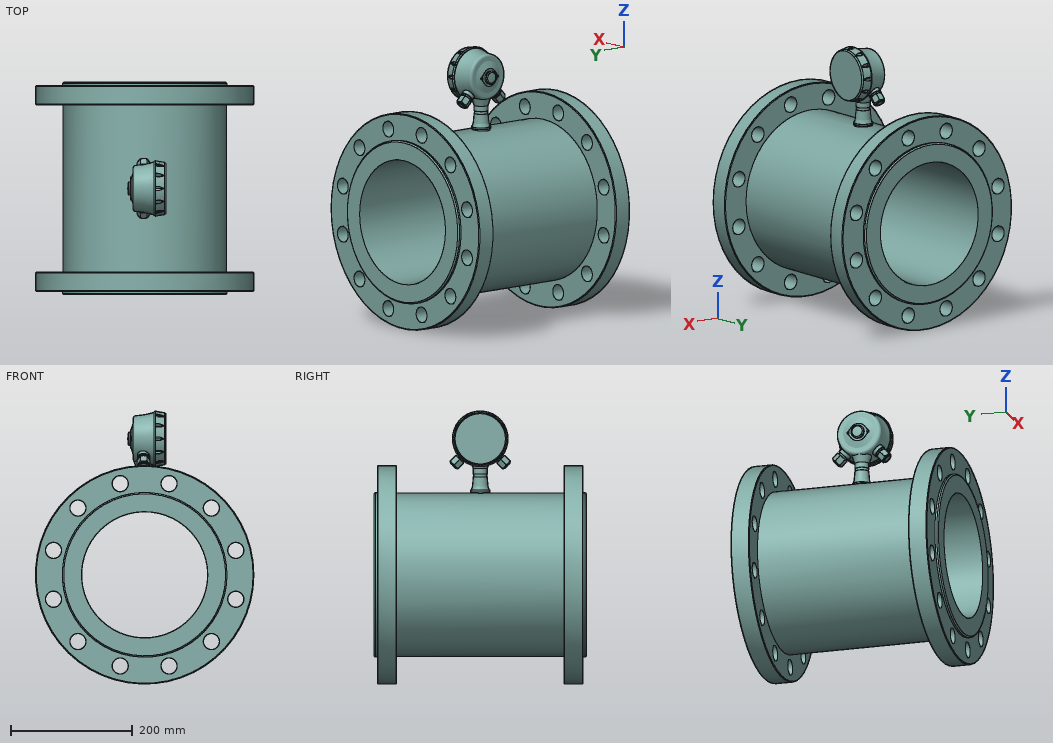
import cadquery as cq
import math


pipe_diameter = 270
bore_diameter = 207.5
pipe_length = 350.0
flange_diameter = 360
flange_thickness = 32.0
flange_chamfer = 1.5
raised_face_diameter = 271.0
raised_face_height = 5.5
raised_face_chamfer = 2.2
bolt_count = 12
bolt_hole_diameter = 26.0
bolt_circle_diameter = 311.0

neck_x = -2.0
neck_base_diameter = 30.0
neck_base_bead = 32.0
neck_diameter = 23.5
groove_diameter = 22.0
neck_root_z = 130.5
bead_bottom_z = 136.7
bead_top_z = 139.5
base_top_z = 145.5
base_top_diameter = 26.0
groove_bottom_z = 161.5
groove_top_z = 166.0
flare_bottom_z = 175.0
flare_top_z = 189
flare_top_diameter = 33.5

head_top_z = 270
ridge_radius = 46.0
head_axis_z = head_top_z - ridge_radius
housing_back_x = -19.0
housing_fillet = 4.5
housing_rim_x = housing_back_x + housing_fillet
housing_rim_radius = 38.2
housing_flare_x = 2.5
housing_flare_radius = 40.5
housing_front_radius = 43.5
back_cone_radius = 26.5
back_cone_x = -22.5
back_cone_tip_radius = 15.0

plate_x = -23.0
plate_radius = 15.0
plate_ear_reach = 19.0
pin_diameter = 3.45
pin_height = 0.5
pin_offset = 17.0
button_tip_x = -28.0
button_face_x = -27.5
button_face_radius = 9
button_side_x = -26.0
button_radius = 11.0

cap_start_x = 15.5
cap_start_radius = 44.5
ridge_start_x = 18
cap_wall_x = 21.5
cap_wall_radius = 45
cap_edge_x = 32.5
cap_edge_radius = 43.0
cap_face_x = 35.0
cap_face_radius = 41.5
grip_count = 12
grip_width = 6.0
grip_floor_radius = 41.5
grip_side_radius = 43.0
grip_taper_x = 24.7
grip_end_x = 32.0

gland_angle = 45
gland_boss_diameter = 20.5
gland_boss_end = 44.5
gland_collar_diameter = 16.5
gland_nut_corners = 21.0
gland_nut_start = 47.5
gland_nut_end = 62.0
gland_nut_chamfer = 2.2
gland_plug_diameter = 12.0
gland_plug_end = 63


def cylinder_y(diameter, start_y, end_y):
    plane = cq.Workplane("XZ", origin=(0, start_y, 0))
    return plane.circle(diameter / 2).extrude(start_y - end_y)


def revolved_about_x(profile):
    """Solid of revolution about X from an (x, radius) outline, moved up to the head axis."""
    solid = profile.close().revolve(360, (0, 0, 0), (1, 0, 0))
    return solid.translate((0, 0, head_axis_z))


def swung(solid, angle):
    """Turn a solid about the head axis."""
    return solid.rotate((0, 0, head_axis_z), (1, 0, head_axis_z), angle)


def pipe_body():
    half = pipe_length / 2
    outer_y = half - raised_face_height
    inner_y = outer_y - flange_thickness
    pipe = cylinder_y(pipe_diameter, -outer_y, outer_y)
    for side in (-1, 1):
        flange = cylinder_y(flange_diameter, side * inner_y, side * outer_y)
        flange = flange.edges().chamfer(flange_chamfer)
        raised_face = cylinder_y(raised_face_diameter, side * inner_y, side * half)
        raised_face = raised_face.edges("<Y" if side < 0 else ">Y").chamfer(raised_face_chamfer)
        pipe = pipe.union(flange).union(raised_face)
    bolt_holes = (
        cq.Workplane("XZ", origin=(0, half, 0))
        .polarArray(bolt_circle_diameter / 2, 180 / bolt_count, 360, bolt_count)
        .circle(bolt_hole_diameter / 2)
        .extrude(pipe_length)
    )
    bore = cylinder_y(bore_diameter, -half, half)
    return pipe.cut(bolt_holes).cut(bore)


def neck():
    profile = [
        (0, neck_root_z),
        (neck_base_diameter / 2, neck_root_z),
        (neck_base_diameter / 2, bead_bottom_z),
        (neck_base_bead / 2, bead_bottom_z),
        (neck_base_bead / 2, bead_top_z),
        (neck_base_diameter / 2, bead_top_z),
        (base_top_diameter / 2, base_top_z),
        (neck_diameter / 2, groove_bottom_z),
        (groove_diameter / 2, groove_bottom_z),
        (groove_diameter / 2, groove_top_z),
        (neck_diameter / 2, groove_top_z),
        (neck_diameter / 2, flare_bottom_z),
        (flare_top_diameter / 2, flare_top_z),
        (0, flare_top_z),
    ]
    solid = cq.Workplane("XZ").polyline(profile).close().revolve(360, (0, 0, 0), (0, 1, 0))
    return solid.translate((neck_x, 0, 0))


def housing():
    profile = (
        cq.Workplane("XY")
        .moveTo(back_cone_x, 0)
        .lineTo(back_cone_x, back_cone_tip_radius)
        .lineTo(housing_back_x, back_cone_radius)
        .lineTo(housing_back_x, housing_rim_radius - housing_fillet)
        .radiusArc((housing_rim_x, housing_rim_radius), housing_fillet)
        .threePointArc((housing_flare_x, housing_flare_radius), (cap_start_x, housing_front_radius))
        .lineTo(cap_start_x, 0)
    )
    return revolved_about_x(profile)


def back_plate():
    """Round plate with two pointed ears tangent to it and a pin on each ear."""
    tangent_y = plate_radius**2 / plate_ear_reach
    tangent_z = math.sqrt(plate_radius**2 - tangent_y**2)
    thickness = housing_back_x - plate_x
    plane = cq.Workplane("YZ", origin=(plate_x, 0, head_axis_z))
    outline = [
        (plate_ear_reach, 0),
        (tangent_y, tangent_z),
        (-tangent_y, tangent_z),
        (-plate_ear_reach, 0),
        (-tangent_y, -tangent_z),
        (tangent_y, -tangent_z),
    ]
    ears = plane.polyline(outline).close().extrude(thickness)
    pins = (
        plane.workplane(offset=-pin_height)
        .pushPoints([(-pin_offset, 0), (pin_offset, 0)])
        .circle(pin_diameter / 2)
        .extrude(thickness + pin_height)
    )
    return plane.circle(plate_radius).extrude(thickness).union(ears).union(pins)


def button():
    profile = cq.Workplane("XY").polyline([
        (button_tip_x, 0),
        (button_face_x, button_face_radius),
        (button_side_x, button_radius),
        (housing_back_x, button_radius),
        (housing_back_x, 0),
    ])
    return revolved_about_x(profile)


def grip_notch():
    """Notch at the top of the cap: V-shaped floor, tapering to a point towards the cap's face."""
    half_width = grip_width / 2
    section = [
        (0, grip_floor_radius),
        (half_width, grip_side_radius),
        (half_width, 2 * ridge_radius),
        (-half_width, 2 * ridge_radius),
        (-half_width, grip_side_radius),
    ]
    outline = [
        (ridge_start_x, -half_width),
        (grip_taper_x, -half_width),
        (grip_end_x, 0),
        (grip_taper_x, half_width),
        (ridge_start_x, half_width),
    ]
    length = grip_end_x - ridge_start_x
    section_plane = cq.Workplane("YZ", origin=(ridge_start_x, 0, head_axis_z))
    outline_plane = cq.Workplane("XY", origin=(0, 0, head_axis_z))
    bar = section_plane.polyline(section).close().extrude(length)
    pointed = outline_plane.polyline(outline).close().extrude(2 * ridge_radius)
    return bar.intersect(pointed)


def cap():
    profile = cq.Workplane("XY").polyline([
        (cap_start_x, 0),
        (cap_start_x, cap_start_radius),
        (ridge_start_x, ridge_radius),
        (cap_wall_x, cap_wall_radius),
        (cap_edge_x, cap_edge_radius),
        (cap_face_x, cap_face_radius),
        (cap_face_x, 0),
    ])
    solid = revolved_about_x(profile)
    for index in range(grip_count):
        solid = solid.cut(swung(grip_notch(), index * 360 / grip_count))
    return solid


def gland():
    """Gland below the head, pointing straight down before it is swung into place."""
    center = cq.Workplane("XY", origin=(neck_x, 0, head_axis_z))
    boss = center.circle(gland_boss_diameter / 2).extrude(-gland_boss_end)
    collar = center.circle(gland_collar_diameter / 2).extrude(-gland_nut_end)
    plug = center.circle(gland_plug_diameter / 2).extrude(-gland_plug_end)
    nut_start = cq.Workplane("XY", origin=(neck_x, 0, head_axis_z - gland_nut_start))
    nut_length = gland_nut_end - gland_nut_start
    hexagon = nut_start.polygon(6, gland_nut_corners).extrude(-nut_length)
    turned = nut_start.circle(gland_nut_corners / 2).extrude(-nut_length)
    nut = hexagon.intersect(turned.faces("<Z").chamfer(gland_nut_chamfer))
    return boss.union(collar).union(plug).union(nut)


result = pipe_body()
for part in (neck(), housing(), back_plate(), button(), cap()):
    result = result.union(part)
for swing in (-gland_angle, gland_angle):
    result = result.union(swung(gland(), swing))